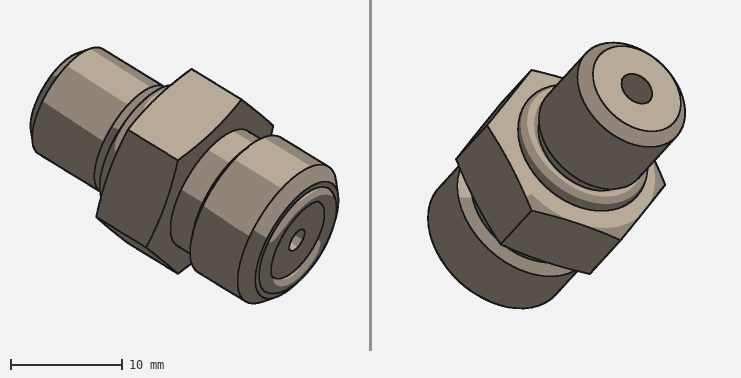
import cadquery as cq
import math


total_length = 27.73

stud_diameter = 11.1
stud_tip_chamfer = 1.03
stud_thread_end = 8.2
relief_diameter = 9.3
relief_start = 8.7

hex_start = 10.98
hex_end = 17.41
hex_across_flats = 15.9
hex_across_corners = 2 * hex_across_flats / math.sqrt(3)
hex_chamfer_angle = math.radians(15)

neck_diameter = 12.15
collar_diameter = 14.28
collar_start = 19.9
collar_back_angle = math.radians(30)
collar_back_chamfer = (collar_diameter - neck_diameter) / 2 * math.tan(collar_back_angle)
face_position = 27.15
collar_front_chamfer = 1.15

inlet_bore_diameter = 3.15
through_bore_diameter = 2.22
bore_step_position = hex_end

stud_ring_section = 1.83
stud_ring_outer_diameter = 13.1
stud_ring_position = hex_start - stud_ring_section / 2

face_ring_outer_diameter = 10.93
face_ring_inner_diameter = 7.93
face_ring_section = (face_ring_outer_diameter - face_ring_inner_diameter) / 2
face_ring_position = total_length - face_ring_section / 2
groove_floor = total_length - face_ring_section


def revolve_about_x(profile):
    """Turn a closed profile, drawn as (x, radius) in the XY plane, about the X axis."""
    return profile.revolve(360, (0, 0, 0), (1, 0, 0))


def cylinder_along_x(diameter, start, end):
    return cq.Workplane("YZ", origin=(start, 0, 0)).circle(diameter / 2).extrude(end - start)


def make_turned_body():
    """Stud, relief, neck and collar as one solid of revolution."""
    stud_radius = stud_diameter / 2
    relief_radius = relief_diameter / 2
    neck_radius = neck_diameter / 2
    collar_radius = collar_diameter / 2
    profile = cq.Workplane("XY").polyline([
        (0, 0),
        (0, stud_radius - stud_tip_chamfer),
        (stud_tip_chamfer, stud_radius),
        (stud_thread_end, stud_radius),
        (relief_start, relief_radius),
        (hex_start, relief_radius),
        (hex_start, neck_radius),
        (collar_start, neck_radius),
        (collar_start + collar_back_chamfer, collar_radius),
        (face_position - collar_front_chamfer, collar_radius),
        (face_position, collar_radius - collar_front_chamfer),
        (face_position, 0),
    ]).close()
    return revolve_about_x(profile)


def make_hexagon():
    """Hexagon with flats facing +Z and -Z, its corners chamfered conically at both ends."""
    prism = (
        cq.Workplane("YZ", origin=(hex_start, 0, 0))
        .polygon(6, hex_across_corners)
        .extrude(hex_end - hex_start)
    )
    flat_radius = hex_across_flats / 2
    cone_length = (hex_end - hex_start) / 4
    cone_radius = flat_radius + cone_length / math.tan(hex_chamfer_angle)
    envelope = cq.Workplane("XY").polyline([
        (hex_start, 0),
        (hex_start, flat_radius),
        (hex_start + cone_length, cone_radius),
        (hex_end - cone_length, cone_radius),
        (hex_end, flat_radius),
        (hex_end, 0),
    ]).close()
    return prism.intersect(revolve_about_x(envelope))


def make_face_groove():
    """Ring-shaped cavity for the face O-ring, open at the sealing face."""
    outer = cylinder_along_x(face_ring_outer_diameter, groove_floor, face_position)
    inner = cylinder_along_x(face_ring_inner_diameter, groove_floor, face_position)
    return outer.cut(inner)


def make_housing():
    inlet_bore = cylinder_along_x(inlet_bore_diameter, 0, bore_step_position)
    through_bore = cylinder_along_x(through_bore_diameter, 0, face_position)
    return (
        make_turned_body()
        .union(make_hexagon())
        .cut(inlet_bore)
        .cut(through_bore)
        .cut(make_face_groove())
        .solids()
    )


def make_o_ring(outer_diameter, section_diameter, position):
    """Round-section ring centred on the X axis at the given X position."""
    centre_radius = (outer_diameter - section_diameter) / 2
    section = cq.Workplane("XY").center(position, centre_radius).circle(section_diameter / 2)
    return section.revolve(360, (-position, -centre_radius, 0), (0.28 - position, -centre_radius, 0))


housing = make_housing()
stud_o_ring = make_o_ring(stud_ring_outer_diameter, stud_ring_section, stud_ring_position)
face_o_ring = make_o_ring(face_ring_outer_diameter, face_ring_section, face_ring_position)

result = cq.Compound.makeCompound([housing.val(), stud_o_ring.val(), face_o_ring.val()])